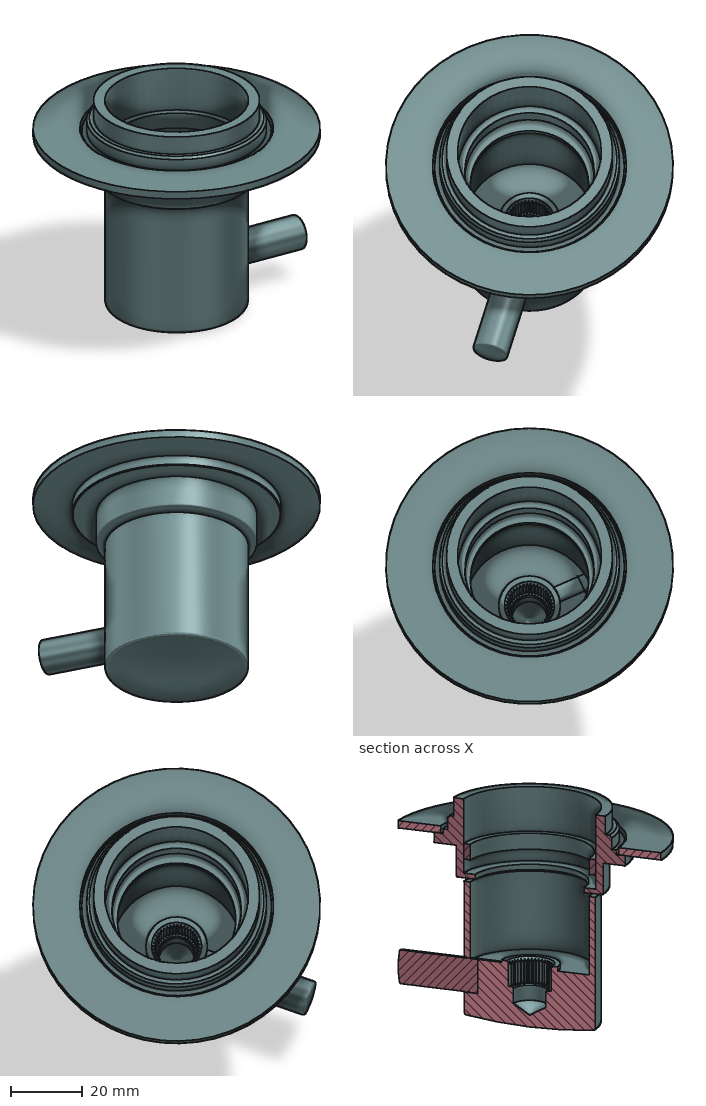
import cadquery as cq
import math

TOP_Z = 64.0

FLANGE_R = 40.0
FLANGE_HOLE_R = 27.0
FLANGE_BOTTOM_Z = 53.1
FLANGE_THICKNESS = 2.2

RIM_R = 23.1
SHOULDER_R = 25.0
SHOULDER_Z = 58.6
SHOULDER_CHAMFER = 0.7
SPIGOT_R = 26.4
SPIGOT_TOP_Z = 54.6
DISK_R = 29.1
DISK_BOTTOM_Z = 50.2
DISK_CHAMFER = 0.2
NECK_R = 22.4
NECK_BOTTOM_Z = 41.0
NECK_FILLET = 0.6
NECK_BORE_R = 20.0
NECK_LEDGE_Z = 42.5
NECK_OPENING_R = 16.5

RING_INNER_R = 18.0
RING_BOTTOM_Z = 46.4
RING_THICKNESS = 4.6

CUP_R = 20.0
CUP_WALL = 2.0
CUP_TOP_Z = 40.1
CUP_FLOOR_Z = 17.4
CUP_DOME_RISE = 1.4
CUP_EDGE_FILLET = 1.0

HUB_R = 8.6
HUB_TOP_Z = 18.6
SPLINE_TEETH = 40
SPLINE_ROOT_R = 6.5
SPLINE_CREST_R = 5.8
SPLINE_FLOOR_Z = 11.2
LEAD_IN_R = 7.0
PILOT_R = 4.9
PILOT_CHAMFER = 0.4
PILOT_BOTTOM_Z = 6.4
PILOT_TIP_ANGLE = 120.0

LEVER_R = 5.0
LEVER_AXIS_Z = 13.0
LEVER_INNER_Y = 15.8
LEVER_END_Y = 40.0
LEVER_DOME_RISE = 0.5
LEVER_EDGE_FILLET = 0.6


def cylinder(radius, bottom_z, top_z):
    """Upright cylinder on the Z axis."""
    return cq.Workplane("XY").workplane(offset=bottom_z).circle(radius).extrude(top_z - bottom_z)


def cone(bottom_radius, top_radius, bottom_z, top_z):
    """Upright cone or frustum on the Z axis."""
    solid = cq.Solid.makeCone(bottom_radius, top_radius, top_z - bottom_z, cq.Vector(0, 0, bottom_z))
    return cq.Workplane(solid)


def domed_bar(radius, length, dome_rise, edge_fillet):
    """Round bar rising from Z = 0, whose lower end bulges down to Z = 0 with a rounded edge."""
    sphere_r = (radius**2 + dome_rise**2) / (2 * dome_rise)
    half_r = radius / 2
    half_z = sphere_r - math.sqrt(sphere_r**2 - half_r**2)
    bar = (
        cq.Workplane("XZ")
        .moveTo(0, 0)
        .threePointArc((half_r, half_z), (radius, dome_rise))
        .lineTo(radius, length)
        .lineTo(0, length)
        .close()
        .revolve(360, (0, 0), (0, 1))
    )
    rim = cq.selectors.BoxSelector(
        (-2 * radius, -2 * radius, dome_rise / 2),
        (2 * radius, 2 * radius, dome_rise * 1.5),
    )
    return bar.edges("%CIRCLE").edges(rim).fillet(edge_fillet)


def lever_rod(start_y, end_y):
    """Plain round rod along +Y on the lever axis."""
    return (
        cq.Workplane("XZ", origin=(0, start_y, LEVER_AXIS_Z))
        .circle(LEVER_R)
        .extrude(start_y - end_y)
    )


def make_flange():
    plate = cylinder(FLANGE_R, FLANGE_BOTTOM_Z, FLANGE_BOTTOM_Z + FLANGE_THICKNESS)
    return plate.cut(cylinder(FLANGE_HOLE_R, FLANGE_BOTTOM_Z, TOP_Z))


def make_neck():
    tube = cylinder(NECK_R, NECK_BOTTOM_Z, DISK_BOTTOM_Z).faces("<Z").edges().fillet(NECK_FILLET)
    disk = cylinder(DISK_R, DISK_BOTTOM_Z, FLANGE_BOTTOM_Z).faces("<Z").edges().chamfer(DISK_CHAMFER)
    spigot = cylinder(SPIGOT_R, FLANGE_BOTTOM_Z, SPIGOT_TOP_Z)
    shoulder = cylinder(SHOULDER_R, SPIGOT_TOP_Z, SHOULDER_Z).faces(">Z").edges().chamfer(SHOULDER_CHAMFER)
    rim = cylinder(RIM_R, SHOULDER_Z, TOP_Z)
    outside = tube.union(disk).union(spigot).union(shoulder).union(rim)
    bore = cylinder(NECK_BORE_R, NECK_LEDGE_Z, TOP_Z)
    opening = cylinder(NECK_OPENING_R, NECK_BOTTOM_Z, NECK_LEDGE_Z)
    return outside.cut(bore).cut(opening)


def make_retaining_ring():
    ring_top_z = RING_BOTTOM_Z + RING_THICKNESS
    ring = cylinder(NECK_BORE_R, RING_BOTTOM_Z, ring_top_z)
    return ring.cut(cylinder(RING_INNER_R, RING_BOTTOM_Z, ring_top_z))


def spline_socket():
    """Toothed hole with a 45 degree lead-in at its mouth."""
    outline = []
    for i in range(2 * SPLINE_TEETH):
        radius = SPLINE_ROOT_R if i % 2 == 0 else SPLINE_CREST_R
        angle = math.pi * i / SPLINE_TEETH
        outline.append((radius * math.cos(angle), radius * math.sin(angle)))
    teeth = (
        cq.Workplane("XY")
        .workplane(offset=SPLINE_FLOOR_Z)
        .polyline(outline)
        .close()
        .extrude(HUB_TOP_Z - SPLINE_FLOOR_Z)
    )
    lead_in_depth = LEAD_IN_R - SPLINE_CREST_R
    lead_in = cone(SPLINE_CREST_R, LEAD_IN_R, HUB_TOP_Z - lead_in_depth, HUB_TOP_Z)
    return teeth.union(lead_in)


def pilot_hole():
    """Drilled hole under the spline, with a chamfered mouth and a conical bottom."""
    tip_depth = PILOT_R / math.tan(math.radians(PILOT_TIP_ANGLE / 2))
    drill = cylinder(PILOT_R, PILOT_BOTTOM_Z, SPLINE_FLOOR_Z)
    tip = cone(0, PILOT_R, PILOT_BOTTOM_Z - tip_depth, PILOT_BOTTOM_Z)
    mouth = cone(PILOT_R, PILOT_R + PILOT_CHAMFER, SPLINE_FLOOR_Z - PILOT_CHAMFER, SPLINE_FLOOR_Z)
    return drill.union(tip).union(mouth)


def make_cup():
    shell = domed_bar(CUP_R, CUP_TOP_Z, CUP_DOME_RISE, CUP_EDGE_FILLET)
    shell = shell.cut(cylinder(CUP_R - CUP_WALL, CUP_FLOOR_Z, CUP_TOP_Z))
    hub = cylinder(HUB_R, CUP_FLOOR_Z, HUB_TOP_Z)
    rib = lever_rod(HUB_R / 2, LEVER_INNER_Y)
    lever_hole = lever_rod(LEVER_INNER_Y, LEVER_END_Y)
    cup = shell.union(hub).union(rib).cut(lever_hole)
    return cup.cut(spline_socket()).cut(pilot_hole())


def make_lever():
    bar = domed_bar(LEVER_R, LEVER_END_Y - LEVER_INNER_Y, LEVER_DOME_RISE, LEVER_EDGE_FILLET)
    return bar.rotate((0, 0, 0), (1, 0, 0), 90).translate((0, LEVER_END_Y, LEVER_AXIS_Z))


flange = make_flange()
neck = make_neck()
retaining_ring = make_retaining_ring()
cup = make_cup()
lever = make_lever()

bodies = [flange, neck, retaining_ring, cup, lever]
result = cq.Compound.makeCompound([body.solids().val() for body in bodies])